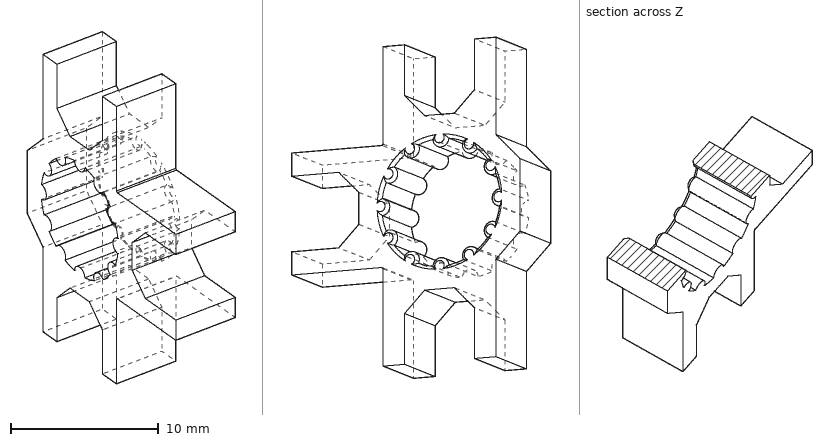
import cadquery as cq
import math

thickness = 5.0
hub_sides = 8
hub_width = 12.01
arm_reach = 11.0
arm_width = 8.4
slot_width = 5.2
slot_depth = 5.0
slot_corner_chamfer = 1.5
bore_radius = 4.4
ridge_radius = 0.6
ridge_count = 12
bore_chamfer = 0.25

arm_angles = (0, 90, 270)


def extrude_profile(profile):
    """Extrude a profile in the XZ plane, centred on Y = 0."""
    return profile.extrude(thickness / 2, both=True)


def turn(body, angle):
    """Turn a body about the bore axis, which runs along Y."""
    return body.rotate((0, 0, 0), (0, -1, 0), angle)


def make_hub():
    """Regular octagon with flats facing along X and Z."""
    corner_diameter = hub_width / math.cos(math.pi / hub_sides)
    hub = extrude_profile(cq.Workplane("XZ").polygon(hub_sides, corner_diameter))
    half_corner_angle = 180 / hub_sides
    return turn(hub, half_corner_angle)


def make_arm():
    """Bar from the bore axis out to the arm tip, before slotting."""
    return extrude_profile(cq.Workplane("XZ").center(arm_reach / 2, 0).rect(arm_reach, arm_width))


def make_slot():
    """Open-ended slot at the arm tip, with chamfered inner corners."""
    half_width = slot_width / 2
    floor_half_width = half_width - slot_corner_chamfer
    floor_x = arm_reach - slot_depth
    chamfer_end_x = floor_x + slot_corner_chamfer
    outline = [
        (arm_reach, half_width),
        (chamfer_end_x, half_width),
        (floor_x, floor_half_width),
        (floor_x, -floor_half_width),
        (chamfer_end_x, -half_width),
        (arm_reach, -half_width),
    ]
    return extrude_profile(cq.Workplane("XZ").polyline(outline).close())


def make_ridged_bore():
    """Cutter for the through bore, leaving round ridges along its wall."""
    bore = extrude_profile(cq.Workplane("XZ").circle(bore_radius))
    ridges = extrude_profile(
        cq.Workplane("XZ").polarArray(bore_radius, 0, 360, ridge_count).circle(ridge_radius)
    )
    return bore.cut(ridges)


def make_bore_chamfer():
    """Cutter for the chamfer on the +Y face, which follows bore and ridges alike."""
    chamfer_start = cq.Workplane("XZ", origin=(0, thickness / 2 - bore_chamfer, 0))
    bore_cone = chamfer_start.circle(bore_radius).extrude(-bore_chamfer, taper=-45)
    ridge_cones = (
        chamfer_start.polarArray(bore_radius, 0, 360, ridge_count)
        .circle(ridge_radius)
        .extrude(-bore_chamfer, taper=45)
    )
    return bore_cone.cut(ridge_cones)


body = make_hub()
for angle in arm_angles:
    body = body.union(turn(make_arm(), angle))
for angle in arm_angles:
    body = body.cut(turn(make_slot(), angle))

result = body.cut(make_ridged_bore()).cut(make_bore_chamfer())